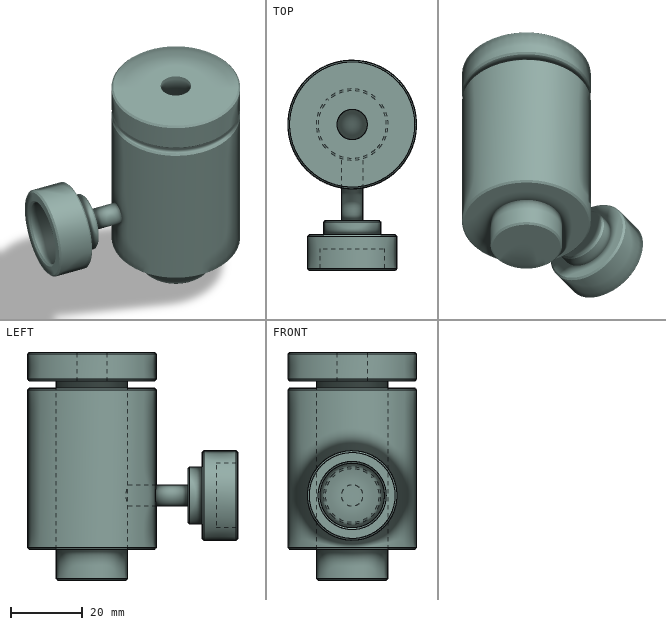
import cadquery as cq

edge_break = 0.5

total_height = 63.7
outer_diameter = 36.0
cap_thickness = 8.0
cap_hole_diameter = 8.5
cap_gap = 2.0
housing_height = 45.0

rod_diameter = 20.0

screw_diameter = 6.0
screw_height = 15.0

knob_reach = 58.8 - outer_diameter / 2
knob_diameter = 25.0
knob_width = 10.0
collar_diameter = 16.0
collar_width = 4.0
recess_diameter = 18.0
recess_depth = 6.0

cap_bottom = total_height - cap_thickness
housing_top = cap_bottom - cap_gap
housing_bottom = housing_top - housing_height
screw_axis_z = housing_bottom + screw_height
knob_back = knob_reach - knob_width
collar_front = knob_back - collar_width


def upright_cylinder(diameter, bottom, top):
    """Cylinder on the Z axis between two heights."""
    return cq.Workplane("XY").workplane(offset=bottom).circle(diameter / 2).extrude(top - bottom)


def screw_line_cylinder(diameter, start, end):
    """Cylinder on the screw axis between two distances from the rod axis, along -Y."""
    return (
        cq.Workplane("XZ", origin=(0, -start, screw_axis_z))
        .circle(diameter / 2)
        .extrude(end - start)
    )


def make_rod():
    """Round rod that slides in the housing and carries the cap."""
    return upright_cylinder(rod_diameter, 0, cap_bottom).faces("<Z").edges().chamfer(edge_break)


def make_cap():
    """Disc on top of the rod with a central hole."""
    disc = upright_cylinder(outer_diameter, cap_bottom, total_height).edges().chamfer(edge_break)
    return disc.cut(upright_cylinder(cap_hole_diameter, cap_bottom, total_height))


def make_housing():
    """Sleeve with a bore for the rod and a side hole for the clamping screw."""
    sleeve = upright_cylinder(outer_diameter, housing_bottom, housing_top).edges().chamfer(edge_break)
    bore = upright_cylinder(rod_diameter, housing_bottom, housing_top)
    screw_hole = screw_line_cylinder(screw_diameter, 0, outer_diameter / 2)
    return sleeve.cut(bore).cut(screw_hole)


def make_screw():
    """Clamping screw from the rod's surface to the knob collar."""
    shank = screw_line_cylinder(screw_diameter, 0, collar_front)
    return shank.cut(upright_cylinder(rod_diameter, 0, cap_bottom))


def make_knob():
    """Hand knob with a collar behind it and a round recess in its outer face."""
    collar = screw_line_cylinder(collar_diameter, collar_front, knob_back)
    collar = collar.faces(">Y").edges().chamfer(edge_break)
    grip = screw_line_cylinder(knob_diameter, knob_back, knob_reach)
    recess = screw_line_cylinder(recess_diameter, knob_reach - recess_depth, knob_reach)
    rim_edges = grip.cut(recess).faces("<Y or >Y").edges()
    return rim_edges.chamfer(edge_break).union(collar)


rod = make_rod()
cap = make_cap()
housing = make_housing()
screw = make_screw()
knob = make_knob()

result = cq.Compound.makeCompound([rod.val(), cap.val(), housing.val(), screw.val(), knob.val()])